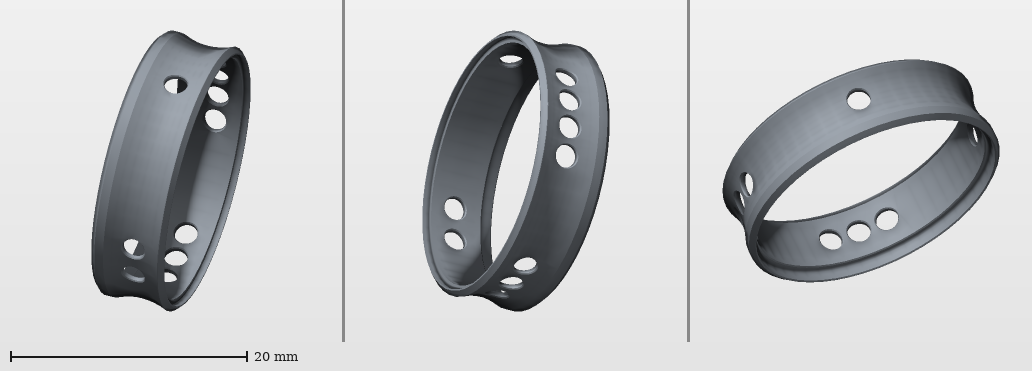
import cadquery as cq
import math

width = 6.5
outer_radius = 11.55
bore_radius = 10.55
left_face = -width / 2
right_face = width / 2

rim_chamfer = 0.42
left_rim_end = left_face + 1.2
right_rim_land = 0.05
right_rim_start = right_face - rim_chamfer - right_rim_land
groove_depth = 0.51
groove_middle = (left_rim_end + right_rim_start) / 2

recess_radius = 11.0
left_recess_depth = 1.2
right_recess_depth = 0.55
recess_fillet = 0.25
edge_break = 0.1
mouth_break = 0.1

hole_diameter = 1.98
hole_break = 0.09
drill_overrun = 1.0
hole_offset = 0.09
hole_x = groove_middle + hole_offset
hole_groups = [
    (90.0, 1, 0.0),
    (180.0, 2, 16.4),
    (270.0, 3, 14.0),
    (0.0, 4, 13.6),
]


def ring():
    """Revolve the ring section about the X axis."""
    chamfered_radius = outer_radius - rim_chamfer
    left_step = left_face + left_recess_depth
    right_step = right_face - right_recess_depth
    corner_radius = recess_radius - recess_fillet
    corner_bulge = recess_fillet * math.sqrt(0.5)
    section = (
        cq.Workplane("XY")
        .moveTo(left_face, chamfered_radius)
        .lineTo(left_face + rim_chamfer, outer_radius)
        .lineTo(left_rim_end, outer_radius)
        .threePointArc((groove_middle, outer_radius - groove_depth), (right_rim_start, outer_radius))
        .lineTo(right_face - rim_chamfer, outer_radius)
        .lineTo(right_face, chamfered_radius)
        .lineTo(right_face, recess_radius)
        .lineTo(right_step, recess_radius)
        .lineTo(right_step, bore_radius)
        .lineTo(left_step + edge_break, bore_radius)
        .lineTo(left_step, bore_radius + edge_break)
        .lineTo(left_step, corner_radius)
        .threePointArc(
            (left_step - recess_fillet + corner_bulge, corner_radius + corner_bulge),
            (left_step - recess_fillet, recess_radius),
        )
        .lineTo(left_face + mouth_break, recess_radius)
        .lineTo(left_face, recess_radius + mouth_break)
        .close()
    )
    return section.revolve(360, (0, 0, 0), (1, 0, 0))


def hole_angles():
    """Angles of all the holes, each group centred on its direction."""
    angles = []
    for direction, count, hole_pitch in hole_groups:
        first = direction - hole_pitch * (count - 1) / 2
        for index in range(count):
            angles.append(first + hole_pitch * index)
    return angles


def radial_hole(angle):
    """Cylinder pointing outward from the ring axis at the given angle."""
    radians = math.radians(angle)
    outward = cq.Vector(0, math.cos(radians), math.sin(radians))
    start = cq.Vector(hole_x, 0, 0) + outward * (bore_radius - drill_overrun)
    length = outer_radius - bore_radius + 2 * drill_overrun
    return cq.Solid.makeCylinder(hole_diameter / 2, length, start, outward)


def hole_edges(body):
    """Closed rims of the holes, told from the ring's own edges by their length."""
    longest = math.pi * (hole_diameter + 2 * hole_break)
    return [edge for edge in body.Edges() if edge.IsClosed() and edge.Length() < longest]


body = ring()
for angle in hole_angles():
    body = body.cut(cq.Workplane(obj=radial_hole(angle)))
solid = body.val().Solids()[0]
result = cq.Workplane(obj=solid.chamfer(hole_break, None, hole_edges(solid)))